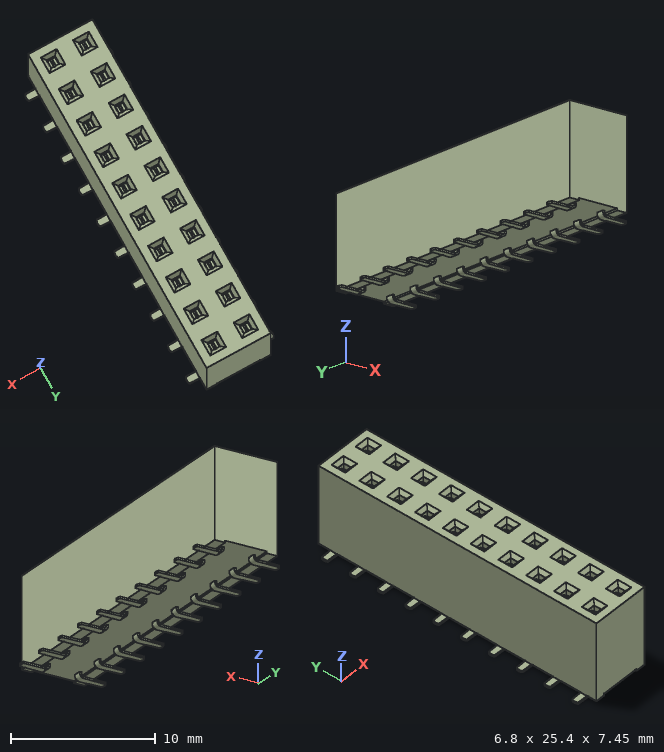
import cadquery as cq

pitch = 2.54
rows = 10
columns = 2

body_width = 5.1
body_length = rows * pitch
total_height = 7.45
standoff_bottom = 0.3
channel_top = 0.45
standoff_width = 0.85

mouth_size = 1.25
throat_size = 0.64
throat_depth = 0.5
contact_rise = 0.2

foot_span = 6.8
metal_thickness = 0.15
contact_width = 0.64
inner_bend_radius = 0.22
tip_width = 0.54
tip_bulge = 0.07

funnel_depth = (mouth_size - throat_size) / 2
outer_bend_radius = inner_bend_radius + metal_thickness
socket_floor = total_height - funnel_depth - throat_depth
contact_top = socket_floor + contact_rise
column_places = [(i - (columns - 1) / 2) * pitch for i in range(columns)]
row_places = [(i - (rows - 1) / 2) * pitch for i in range(rows)]


def make_body():
    """Long block standing on two rails with a channel between them."""
    block = cq.Workplane("XY").workplane(offset=standoff_bottom).rect(body_width, body_length)
    block = block.extrude(total_height - standoff_bottom)
    channel = cq.Workplane("XY").workplane(offset=standoff_bottom)
    channel = channel.rect(body_width - 2 * standoff_width, body_length)
    return block.cut(channel.extrude(channel_top - standoff_bottom))


def make_socket(x, y):
    """Square funnel narrowing into a straight square throat."""
    funnel = cq.Workplane("XY", origin=(x, y, total_height)).rect(mouth_size, mouth_size)
    funnel = funnel.workplane(offset=-funnel_depth).rect(throat_size, throat_size).loft(ruled=True)
    throat = cq.Workplane("XY", origin=(x, y, socket_floor)).rect(throat_size, throat_size)
    return funnel.union(throat.extrude(throat_depth))


def make_contact(x, y):
    """Upright leg bent at the bottom into a tapered foot that points away from the centre line."""
    side = 1 if x > 0 else -1
    inner_face = x - side * metal_thickness / 2
    outer_face = x + side * metal_thickness / 2
    bend_end = inner_face + side * outer_bend_radius
    tip = side * foot_span / 2
    tip_corner = tip - side * tip_bulge

    leg = (
        cq.Workplane("XZ", origin=(0, y + contact_width / 2, 0))
        .moveTo(inner_face, contact_top)
        .lineTo(inner_face, outer_bend_radius)
        .radiusArc((bend_end, 0), -side * outer_bend_radius)
        .lineTo(bend_end, metal_thickness)
        .radiusArc((outer_face, outer_bend_radius), side * inner_bend_radius)
        .lineTo(outer_face, contact_top)
        .close()
        .extrude(contact_width)
    )
    foot = (
        cq.Workplane("XY", origin=(0, y, 0))
        .moveTo(bend_end, -contact_width / 2)
        .lineTo(tip_corner, -tip_width / 2)
        .threePointArc((tip, 0), (tip_corner, tip_width / 2))
        .lineTo(bend_end, contact_width / 2)
        .close()
        .extrude(metal_thickness)
    )
    return leg.union(foot)


result = make_body()
for x in column_places:
    for y in row_places:
        result = result.cut(make_socket(x, y))
        result = result.union(make_contact(x, y))